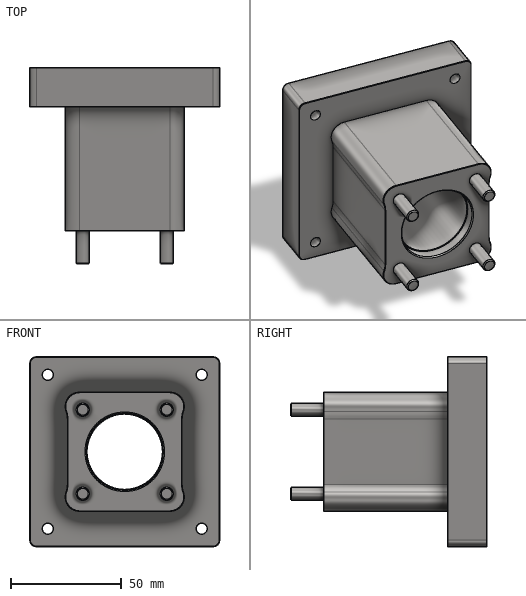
import cadquery as cq
import math

plate_thickness = 18.0
body_length = 56.0
pin_length = 15.0

plate_size = 86.0
plate_corner_radius = 3.0
plate_chamfer = 0.3
plate_hole_diameter = 4.9
plate_hole_spacing = 69.6

body_size = 53.9
body_corner_radius = 6.5
relief_depth = 1.0
relief_blend_radius = 10.0
body_chamfer = 0.3

bore_diameter = 34.0
counterbore_diameter = 35.0
counterbore_depth = 5.0
bore_chamfer = 0.5

pin_diameter = 6.0
pin_spacing = 38.0
pin_chamfer = 0.5

plate_front = -plate_thickness
body_front = plate_front - body_length


def xz_plane(y):
    """XZ workplane at the given Y, with positive extrusion toward -Y."""
    return cq.Workplane("XZ", origin=(0, y, 0))


def make_plate():
    plate = xz_plane(0).rect(plate_size, plate_size).extrude(plate_thickness)
    plate = plate.edges("|Y").fillet(plate_corner_radius)
    return plate.faces("<Y or >Y").chamfer(plate_chamfer)


def make_body():
    half = body_size / 2
    center = half - body_corner_radius
    side = half - relief_depth
    turn = math.acos(1 - relief_depth / (body_corner_radius + relief_blend_radius))
    blend_center_x = side + relief_blend_radius
    blend_center_z = center - (body_corner_radius + relief_blend_radius) * math.sin(turn)

    def corner_point(angle):
        return (
            center + body_corner_radius * math.cos(angle),
            center + body_corner_radius * math.sin(angle),
        )

    def blend_point(angle):
        return (
            blend_center_x - relief_blend_radius * math.cos(angle),
            blend_center_z + relief_blend_radius * math.sin(angle),
        )

    quarter = (
        xz_plane(plate_front)
        .lineTo(0, half)
        .lineTo(center, half)
        .threePointArc(corner_point((math.pi / 2 - turn) / 2), corner_point(-turn))
        .threePointArc(blend_point(turn / 2), blend_point(0))
        .lineTo(side, 0)
        .close()
        .extrude(body_length)
    )
    upper_half = quarter.union(quarter.mirror("YZ"))
    body = upper_half.union(upper_half.mirror("XY")).clean()
    return body.faces("<Y").chamfer(body_chamfer)


def make_pins():
    pins = (
        xz_plane(body_front)
        .rect(pin_spacing, pin_spacing, forConstruction=True)
        .vertices()
        .circle(pin_diameter / 2)
        .extrude(pin_length)
    )
    return pins.faces("<Y").chamfer(pin_chamfer)


def make_bore():
    bore = xz_plane(0).circle(bore_diameter / 2).extrude(plate_thickness + body_length)
    counterbore = (
        xz_plane(body_front + counterbore_depth)
        .circle(counterbore_diameter / 2)
        .extrude(counterbore_depth)
    )
    lead_in = (
        xz_plane(body_front + bore_chamfer)
        .circle(counterbore_diameter / 2)
        .workplane(offset=bore_chamfer)
        .circle(counterbore_diameter / 2 + bore_chamfer)
        .loft(ruled=True)
    )
    return bore.union(counterbore).union(lead_in)


def make_plate_holes():
    return (
        xz_plane(0)
        .rect(plate_hole_spacing, plate_hole_spacing, forConstruction=True)
        .vertices()
        .circle(plate_hole_diameter / 2)
        .extrude(plate_thickness)
    )


housing = make_plate().union(make_body()).cut(make_bore()).cut(make_plate_holes())
result = housing.union(make_pins())